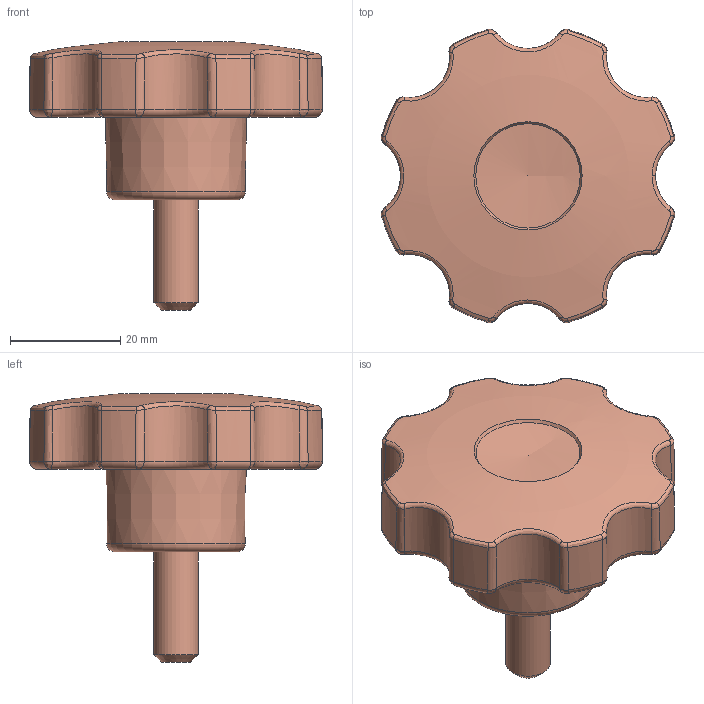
import cadquery as cq
import math

overall_height = 48.67
stud_length = 20.0
hub_length = 15.0
rim_z = overall_height - stud_length - hub_length

draft = math.radians(1.0)
head_radius = 27.53
shoulder_z = 11.25
scallop_count = 8
scallop_radius = 7.2
scallop_centre_radius = 30.3
corner_fillet = 1.5
underside_fillet = 1.4
crown_fillet = 0.75

dish_rim_radius = 9.8
dish_floor_radius = 9.45
dish_edge_depth = 0.55
dish_centre_depth = 1.2
dish_cutter_clearance = 1.0

crown_centre_z = (dish_rim_radius**2 + rim_z**2 - head_radius**2 - shoulder_z**2) / (
    2 * (rim_z - shoulder_z)
)

hub_end_radius = 12.5
hub_fillet = 1.5
stud_radius = 4.0
stud_chamfer = 1.4


def make_crowned_disc():
    """Drafted disc closed above by the spherical crown."""
    sphere_radius = math.hypot(dish_rim_radius, rim_z - crown_centre_z)
    tip_radius = head_radius - shoulder_z * math.tan(draft)
    tip_z = crown_centre_z + math.sqrt(sphere_radius**2 - tip_radius**2)
    mid_radius = tip_radius / 2
    mid_z = crown_centre_z + math.sqrt(sphere_radius**2 - mid_radius**2)
    return (
        cq.Workplane("XZ")
        .lineTo(head_radius, 0)
        .lineTo(tip_radius, tip_z)
        .threePointArc((mid_radius, mid_z), (0, crown_centre_z + sphere_radius))
        .close()
        .revolve(360, (0, 0, 0), (0, 1, 0))
    )


def make_head():
    """Crowned disc with scallops around its rim and all its edges rounded."""
    scallops = (
        cq.Workplane("XY")
        .polarArray(scallop_centre_radius, 0, 360, scallop_count)
        .circle(scallop_radius)
        .extrude(overall_height)
    )
    head = make_crowned_disc().cut(scallops)
    band_bottom_z = shoulder_z / 3
    band_top_z = 2 * band_bottom_z
    lobe_corners = cq.selectors.BoxSelector(
        (-head_radius, -head_radius, band_bottom_z),
        (head_radius, head_radius, band_top_z),
    )
    head = head.edges(lobe_corners).fillet(corner_fillet)
    head = head.faces("<Z").edges().fillet(underside_fillet)
    return head.faces("%SPHERE").edges().fillet(crown_fillet)


def make_dish():
    """Cutter for the dish: tapered wall and a shallow spherical floor."""
    floor_edge_z = rim_z - dish_edge_depth
    cutter_top_z = rim_z + dish_cutter_clearance
    floor_z = rim_z - dish_centre_depth
    sag = floor_edge_z - floor_z
    floor_sphere = (dish_floor_radius**2 + sag**2) / (2 * sag)
    mid_radius = dish_floor_radius / 2
    mid_z = floor_z + floor_sphere - math.sqrt(floor_sphere**2 - mid_radius**2)
    return (
        cq.Workplane("XZ")
        .moveTo(0, floor_z)
        .threePointArc((mid_radius, mid_z), (dish_floor_radius, floor_edge_z))
        .lineTo(dish_rim_radius, rim_z)
        .lineTo(dish_rim_radius, cutter_top_z)
        .lineTo(0, cutter_top_z)
        .close()
        .revolve(360, (0, 0, 0), (0, 1, 0))
    )


def make_hub():
    """Drafted hub below the head, rounded at its lower end."""
    hub_root_radius = hub_end_radius + hub_length * math.tan(draft)
    return (
        cq.Workplane("XY")
        .circle(hub_root_radius)
        .workplane(offset=-hub_length)
        .circle(hub_end_radius)
        .loft(ruled=True)
        .faces("<Z")
        .edges()
        .fillet(hub_fillet)
    )


def make_stud():
    """Cylindrical stud with a chamfered tip."""
    return (
        cq.Workplane("XY", origin=(0, 0, -hub_length))
        .circle(stud_radius)
        .extrude(-stud_length)
        .faces("<Z")
        .chamfer(stud_chamfer)
    )


result = make_head().cut(make_dish()).union(make_hub()).union(make_stud())